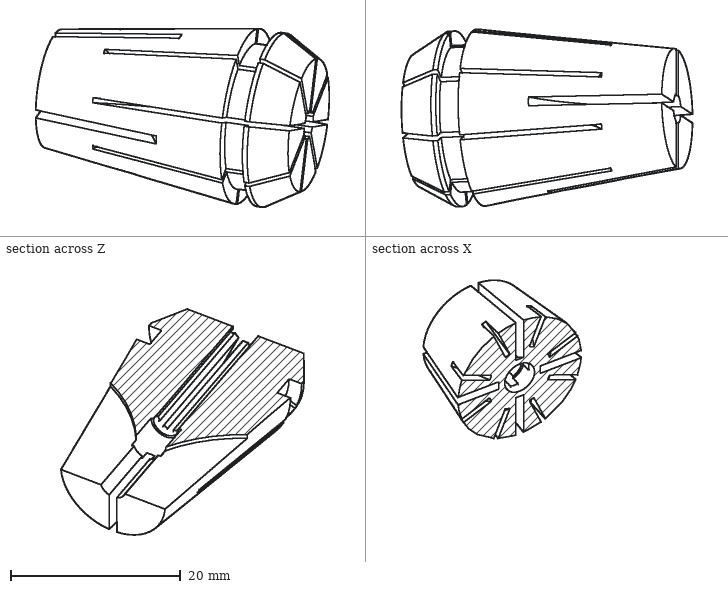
import cadquery as cq
import math

length = 31.5
major_radius = 10.442
taper_angle = 8.0

groove_start = 23.9
groove_end = 26.65
groove_radius = 8.65
nose_radius = 10.35
nose_bevel_start = 27.25
nose_bevel_angle = 30.0

bore_radius = 1.7
relief_radius = 2.02
relief_start = 7.88
relief_end = 12.6

saw_radius = 18.95
saw_axis_radius = 18.0
front_slot_count = 4
front_slot_width = 1.05
front_saw_x = -1.2
rear_slot_count = 8
rear_slot_width = 0.6
rear_slot_start = 7.2


def taper_radius(x):
    """Radius of the long taper at distance x from the narrow end."""
    return major_radius - (groove_start - x) * math.tan(math.radians(taper_angle))


def make_body():
    """Solid of revolution: long taper, groove and bevelled nose."""
    bevel_drop = (length - nose_bevel_start) * math.tan(math.radians(nose_bevel_angle))
    profile = (
        cq.Workplane("XZ")
        .moveTo(0, 0)
        .lineTo(0, taper_radius(0))
        .lineTo(groove_start, major_radius)
        .lineTo(groove_start, groove_radius)
        .lineTo(groove_end, groove_radius)
        .lineTo(groove_end, nose_radius)
        .lineTo(nose_bevel_start, nose_radius)
        .lineTo(length, nose_radius - bevel_drop)
        .lineTo(length, 0)
        .close()
    )
    return profile.revolve(360, (0, 0, 0), (1, 0, 0))


def axial_cylinder(start, end, radius):
    """Cylinder on the part axis between two X positions."""
    return cq.Workplane("YZ", origin=(start, 0, 0)).circle(radius).extrude(end - start)


def saw_discs(axis_x, width, count, first_angle):
    """Saw discs spaced evenly around the part axis, starting first_angle from +Z."""
    disc = (
        cq.Workplane("XZ")
        .center(axis_x, saw_axis_radius)
        .circle(saw_radius)
        .extrude(width / 2, both=True)
    )
    spacing = 360 / count
    return [
        disc.rotate((0, 0, 0), (1, 0, 0), first_angle + i * spacing)
        for i in range(count)
    ]


rear_saw_drop = saw_axis_radius - taper_radius(rear_slot_start)
rear_saw_x = rear_slot_start + math.sqrt(saw_radius**2 - rear_saw_drop**2)

front_discs = saw_discs(front_saw_x, front_slot_width, front_slot_count, 0)
rear_discs = saw_discs(rear_saw_x, rear_slot_width, rear_slot_count, 180 / rear_slot_count)

result = (
    make_body()
    .cut(axial_cylinder(0, length, bore_radius))
    .cut(axial_cylinder(relief_start, relief_end, relief_radius))
)
for disc in front_discs + rear_discs:
    result = result.cut(disc)